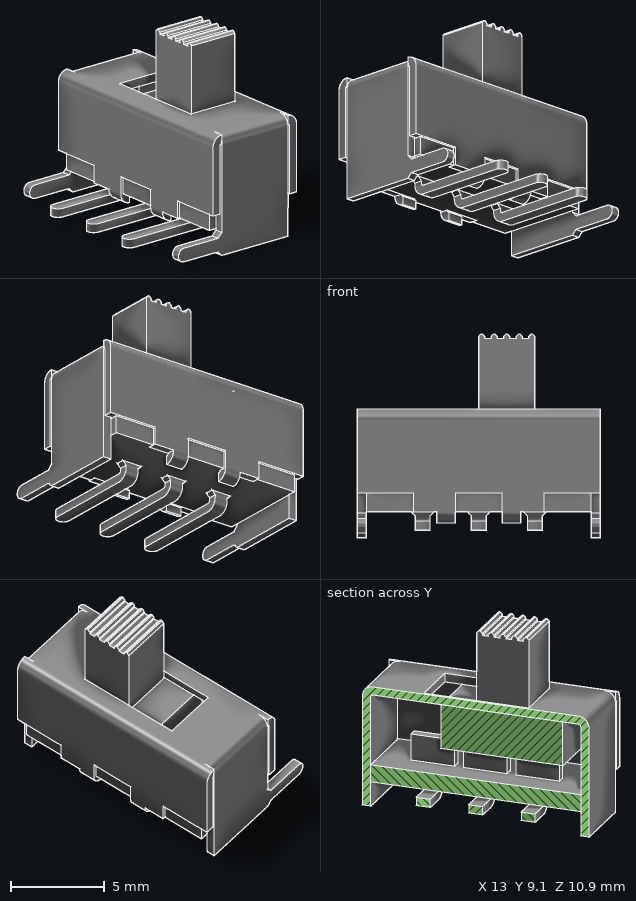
import cadquery as cq
import math


sheet = 0.5
bend_outer = 0.61
bend_inner = bend_outer - sheet

shell_length = 13.0
shell_width = 5.8
shell_height = 6.89
end_plate_width = shell_width - 2 * bend_outer
inside_length = shell_length - 2 * sheet
inside_width = shell_width - 2 * sheet
wall_bottom = -4.5
tab_inner_x = 1.25
tab_outer_x = 3.5
curl_length = 1.0
window_length = 6.0
window_width = 3.1

base_height = 1.0
base_width = 5.5
base_top = wall_bottom
base_bottom = base_top - base_height

lead_z = -6.24
leg_height = 0.78
leg_tip_y = -5.29
leg_root_chamfer = 0.27

pin_pitch = 3.0
pin_width = 0.8
pin_tip_y = -6.2
pin_bend_inner = 0.15
neck_drop = 0.22
blade_top = -3.0
blade_width = 2.5
neck_end_z = base_bottom - neck_drop
pin_top_z = lead_z + sheet / 2

knob_length = 3.02
knob_width = 2.99
knob_x = window_length / 2 - knob_length / 2
knob_top = 4.0
plate_length = 7.0
ridge_count = 5
ridge_width = 0.34
ridge_flat = 0.08
ridge_slope_height = 0.13
ridge_height = 0.23
ridge_pitch = (knob_length - ridge_width) / (ridge_count - 1)


def box(x0, x1, y0, y1, z0, z1):
    """Box between two opposite corners."""
    return cq.Workplane("XY").box(x1 - x0, y1 - y0, z1 - z0, centered=False).translate((x0, y0, z0))


def quarter_ring(plane, centre_u, centre_v, start_angle, length, inner_radius=bend_inner):
    """Quarter-turn sheet bend of the given length, centred on `plane`."""
    def at(radius, angle):
        turn = math.radians(angle)
        return (centre_u + radius * math.cos(turn), centre_v + radius * math.sin(turn))

    outer_radius = inner_radius + sheet
    middle_angle = start_angle + 45
    end_angle = start_angle + 90
    return (
        cq.Workplane(plane)
        .moveTo(*at(inner_radius, start_angle))
        .lineTo(*at(outer_radius, start_angle))
        .threePointArc(at(outer_radius, middle_angle), at(outer_radius, end_angle))
        .lineTo(*at(inner_radius, end_angle))
        .threePointArc(at(inner_radius, middle_angle), at(inner_radius, start_angle))
        .close()
        .extrude(length / 2, both=True)
    )


def mirrored_pair(half, plane):
    """The shape joined with its mirror image."""
    return half.union(half.mirror(plane))


def top_panel():
    """Flat top, running to the start of the bends, with the slider window cut through it."""
    panel = cq.Workplane("XY").box(
        shell_length - 2 * bend_outer, end_plate_width, sheet, centered=(True, True, False)
    )
    window = cq.Workplane("XY").box(window_length, window_width, sheet, centered=(True, True, False))
    return panel.cut(window).translate((0, 0, -sheet))


def tab_curl(x_centre):
    """Lower end of a tab on the -Y wall, curled a quarter turn inwards below the base."""
    curl = quarter_ring("YZ", -end_plate_width / 2, base_bottom, 180, curl_length)
    return curl.translate((x_centre, 0, 0))


def long_wall():
    """Wall on the -Y side, with its bend to the top panel and two tabs that clasp the base."""
    outer_y = -shell_width / 2
    half_length = shell_length / 2
    wall = box(-half_length, half_length, outer_y, outer_y + sheet, wall_bottom, -bend_outer)
    wall = wall.union(quarter_ring("YZ", -end_plate_width / 2, -bend_outer, 90, shell_length))
    tab = box(tab_inner_x, tab_outer_x, outer_y, outer_y + sheet, base_bottom, wall_bottom)
    tab = tab.union(tab_curl(tab_inner_x + curl_length / 2))
    return wall.union(mirrored_pair(tab, "YZ"))


def end_plate():
    """Plate at the -X end, bent down from the top panel, with a round-tipped leg toward -Y."""
    edge_y = -end_plate_width / 2
    leg_top = lead_z + leg_height / 2
    leg_bottom = lead_z - leg_height / 2
    tip_centre_y = leg_tip_y + leg_height / 2
    plate = (
        cq.Workplane("YZ")
        .moveTo(-edge_y, -bend_outer)
        .lineTo(edge_y, -bend_outer)
        .lineTo(edge_y, leg_top + leg_root_chamfer)
        .lineTo(edge_y - leg_root_chamfer, leg_top)
        .lineTo(tip_centre_y, leg_top)
        .threePointArc((leg_tip_y, lead_z), (tip_centre_y, leg_bottom))
        .lineTo(edge_y - leg_root_chamfer, leg_bottom)
        .lineTo(edge_y, -shell_height)
        .lineTo(-edge_y, -shell_height)
        .close()
        .extrude(sheet)
        .translate((-shell_length / 2, 0, 0))
    )
    bend_x = -shell_length / 2 + bend_outer
    return plate.union(quarter_ring("XZ", bend_x, -bend_outer, 90, end_plate_width))


def make_shell():
    """Sheet-metal shell: top panel, two long walls and two end plates with legs."""
    long_walls = mirrored_pair(long_wall(), "XZ")
    end_plates = mirrored_pair(end_plate(), "YZ")
    return top_panel().union(long_walls).union(end_plates)


def make_pin(x_centre):
    """Contact pin: an upright blade that narrows, turns toward -Y and ends in a round tip."""
    half_blade = blade_width / 2
    half_pin = pin_width / 2
    half_sheet = sheet / 2
    shoulder_z = neck_end_z + half_blade - half_pin
    bend_top_z = pin_top_z + pin_bend_inner
    blade = (
        cq.Workplane("XZ")
        .polyline([
            (-half_blade, blade_top),
            (half_blade, blade_top),
            (half_blade, shoulder_z),
            (half_pin, neck_end_z),
            (half_pin, bend_top_z),
            (-half_pin, bend_top_z),
            (-half_pin, neck_end_z),
            (-half_blade, shoulder_z),
        ])
        .close()
        .extrude(half_sheet, both=True)
    )
    bend_y = -half_sheet - pin_bend_inner
    bend = quarter_ring("YZ", bend_y, bend_top_z, 270, pin_width, pin_bend_inner)
    tip_centre_y = pin_tip_y + half_pin
    lead = (
        cq.Workplane("XY")
        .moveTo(half_pin, bend_y)
        .lineTo(half_pin, tip_centre_y)
        .threePointArc((0, pin_tip_y), (-half_pin, tip_centre_y))
        .lineTo(-half_pin, bend_y)
        .close()
        .extrude(sheet)
        .translate((0, 0, pin_top_z - sheet))
    )
    return blade.union(bend).union(lead).translate((x_centre, 0, 0))


def make_base(pins):
    """Plastic slab between the end plates, recessed for the wall tabs and slotted for the pins."""
    half_length = inside_length / 2
    half_width = base_width / 2
    base = box(-half_length, half_length, -half_width, half_width, base_bottom, base_top)
    recess = box(tab_inner_x, tab_outer_x, -half_width, -inside_width / 2, base_bottom, base_top)
    recesses = mirrored_pair(mirrored_pair(recess, "YZ"), "XZ")
    base = base.cut(recesses)
    for pin in pins:
        base = base.cut(pin)
    return base


def grip_ridge(x_centre):
    """Ridge across the knob: upright sides below, sloping to a narrow flat on top."""
    half_ridge = ridge_width / 2
    half_flat = ridge_flat / 2
    floor_z = knob_top - ridge_height
    shoulder_z = knob_top - ridge_slope_height
    return (
        cq.Workplane("XZ")
        .polyline([
            (x_centre - half_ridge, floor_z),
            (x_centre - half_ridge, shoulder_z),
            (x_centre - half_flat, knob_top),
            (x_centre + half_flat, knob_top),
            (x_centre + half_ridge, shoulder_z),
            (x_centre + half_ridge, floor_z),
        ])
        .close()
        .extrude(knob_width / 2, both=True)
    )


def make_slider():
    """Slider at its +X stop: a plate under the shell top and a ridged knob through the window."""
    half_plate = plate_length / 2
    half_plate_width = end_plate_width / 2
    half_knob = knob_length / 2
    half_knob_width = knob_width / 2
    slider = box(
        knob_x - half_plate, knob_x + half_plate, -half_plate_width, half_plate_width, blade_top, -sheet
    )
    slider = slider.union(box(
        knob_x - half_knob, knob_x + half_knob, -half_knob_width, half_knob_width,
        -sheet, knob_top - ridge_height,
    ))
    first_ridge_x = knob_x - half_knob + ridge_width / 2
    for index in range(ridge_count):
        slider = slider.union(grip_ridge(first_ridge_x + index * ridge_pitch))
    return slider


shell = make_shell()
slider = make_slider()
pins = [make_pin(position * pin_pitch) for position in (-1, 0, 1)]
base = make_base(pins)

result = cq.Compound.makeCompound([shell.val(), base.val(), slider.val(), *[pin.val() for pin in pins]])